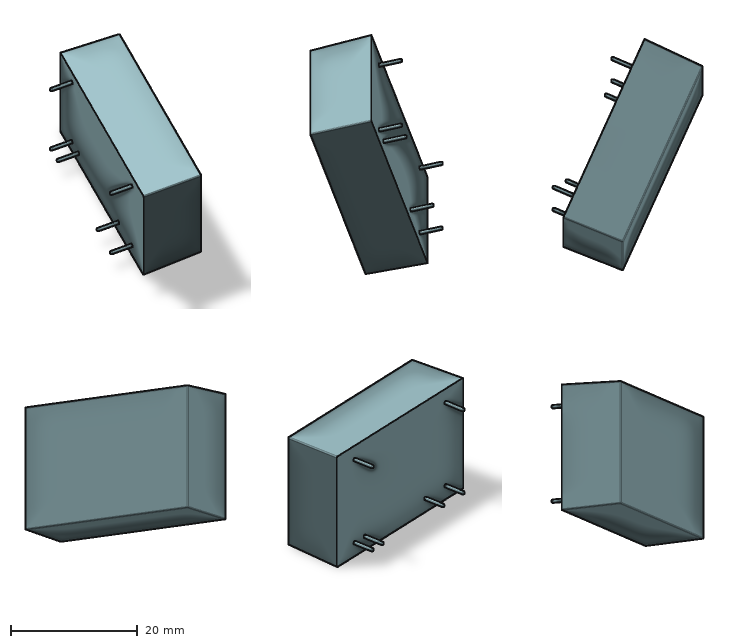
import cadquery as cq
import math

CASE_LENGTH = 31.8
CASE_HEIGHT = 20.3
CASE_DEPTH = 10.2
DRAFT_ANGLE = 1.5
EDGE_RADIUS = 0.2

PIN_DIAMETER = 0.6
PIN_LENGTH = 3.8
TIP_FLAT_RADIUS = 0.01
TIP_RADIUS = PIN_DIAMETER / 2 - TIP_FLAT_RADIUS

GRID = 2.54
ROW_OFFSET = 3 * GRID
LOWER_ROW_STEPS = (-4.5, -3.5, 2.5, 4.5)
UPPER_ROW_STEPS = (-4.5, 4.5)


def make_case():
    """Tapered block from y = 0 to y = CASE_DEPTH, rounded on all edges but those of the pin face."""
    inset = CASE_DEPTH * math.tan(math.radians(DRAFT_ANGLE))
    block = (
        cq.Workplane("XZ")
        .rect(CASE_LENGTH, CASE_HEIGHT)
        .workplane(offset=-CASE_DEPTH)
        .rect(CASE_LENGTH - 2 * inset, CASE_HEIGHT - 2 * inset)
        .loft(ruled=True)
    )
    return block.edges("not(<Y)").fillet(EDGE_RADIUS)


def make_pin(x, z):
    """Pin with a rounded tip, standing on the pin face and pointing toward -Y."""
    shank = (
        cq.Workplane("XZ")
        .center(x, z)
        .circle(PIN_DIAMETER / 2)
        .extrude(PIN_LENGTH)
    )
    return shank.faces("<Y").edges().fillet(TIP_RADIUS)


result = make_case()
for row_z, row_steps in ((-ROW_OFFSET, LOWER_ROW_STEPS), (ROW_OFFSET, UPPER_ROW_STEPS)):
    for step in row_steps:
        result = result.union(make_pin(step * GRID, row_z))